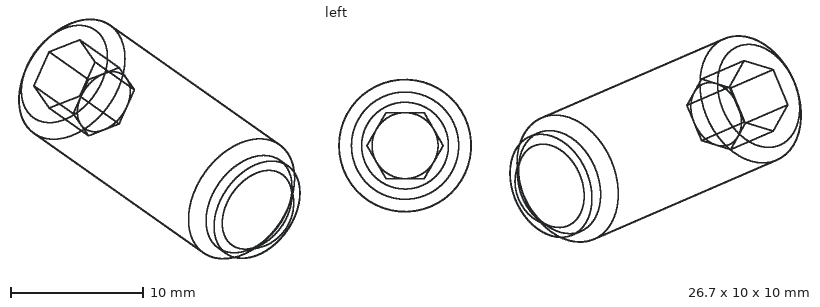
import cadquery as cq
import math

total_length = 26.7
body_diameter = 10.0
body_length = 23.4
collar_length = 1.01
collar_radius = 4.05
ball_radius = 3.5
socket_across_flats = 5.0
socket_depth = 5.0
socket_point_angle = 100.0

body_radius = body_diameter / 2
chamfer = body_radius - collar_radius
collar_end = body_length + collar_length
ball_center = total_length - ball_radius
ball_rim_radius = math.sqrt(ball_radius**2 - (collar_end - ball_center) ** 2)
ball_mid_offset = ball_radius * math.sin(math.pi / 4)
socket_corner_diameter = socket_across_flats / math.cos(math.pi / 6)
drill_radius = socket_across_flats / 2
drill_point_length = drill_radius / math.tan(math.radians(socket_point_angle / 2))


def make_screw():
    """Chamfered body, collar flush with the chamfer, and ball, revolved about the X axis."""
    profile = (
        cq.Workplane("XY")
        .moveTo(0, 0)
        .lineTo(0, collar_radius)
        .lineTo(chamfer, body_radius)
        .lineTo(body_length - chamfer, body_radius)
        .lineTo(body_length, collar_radius)
        .lineTo(collar_end, collar_radius)
        .lineTo(collar_end, ball_rim_radius)
        .threePointArc((ball_center + ball_mid_offset, ball_mid_offset), (total_length, 0))
        .close()
    )
    return profile.revolve(360, (0, 0, 0), (1, 0, 0))


def make_socket():
    """Hexagon socket with flats facing up and down and a conical drill point."""
    hexagon = cq.Workplane("YZ").polygon(6, socket_corner_diameter).extrude(socket_depth)
    drill_point = (
        cq.Workplane("XY")
        .moveTo(socket_depth, 0)
        .lineTo(socket_depth, drill_radius)
        .lineTo(socket_depth + drill_point_length, 0)
        .close()
        .revolve(360, (0, 0, 0), (1, 0, 0))
    )
    return hexagon.union(drill_point)


result = make_screw().cut(make_socket())